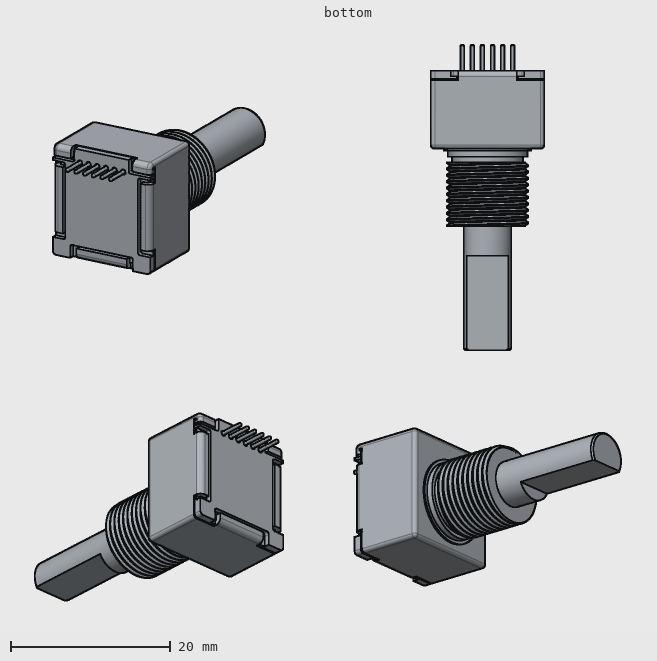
import cadquery as cq


overall_length = 38.28

case_width = 14.25
case_height = 14.78
case_top = 8.05
case_bottom = case_top - case_height
case_length = 9.8
case_round = 0.5
half_width = case_width / 2

sheet = 0.73
bend_radius = 0.73
tab_depth = 0.75
tab_length = 1.45
notch_length = 1.8
notch_round = 0.3
corner_tab_inner_x = 4.5
corner_notch_inner_x = 4.0
side_tab_bottom = -3.67
side_tab_top = 5.2
side_notch_bottom = -4.4
side_notch_top = 5.9
bottom_tab_half = 3.67
bottom_notch_half = 4.6

window_depth = 1.22
window_gap = 0.2
side_window_top = 7.27

pin_count = 6
pin_pitch = 1.25
pin_radius = 0.25
pin_tip_round = 0.2
pin_length = 3.2
pin_height = 6.28
pin_hole_radius = 0.35

collar_radius = 5.47
collar_end = 10.03
shoulder_radius = 5.0
shoulder_end = 10.85
neck_radius = 4.48
neck_end = 11.52

thread_length = 7.95
thread_turns = 10
thread_pitch = thread_length / thread_turns
thread_end = neck_end + thread_length
root_radius = 4.75
crest_radius = 5.13
ridge_base_radius = 4.67
base_flat = 0.05
crest_flat = 0.1

shaft_radius = 3.0
shaft_end = overall_length - pin_length
shaft_chamfer = 0.23
flat_start = 23.2
flat_height = -1.4


def block(x_range, y_range, z_range):
    """Box spanning the given (low, high) ranges."""
    spans = [high - low for low, high in (x_range, y_range, z_range)]
    corner = (x_range[0], y_range[0], z_range[0])
    return cq.Workplane("XY").box(*spans, centered=False).translate(corner)


def rod(radius, start, end):
    """Cylinder on the shaft axis between two Y positions."""
    return cq.Workplane("XZ", origin=(0, start, 0)).circle(radius).extrude(start - end)


def mirrored_pair(shape):
    """The shape together with its mirror image across X = 0."""
    return shape.union(shape.mirror("YZ"))


def make_case_block():
    case = block((-half_width, half_width), (0, case_length), (case_bottom, case_top))
    return case.edges("|Y").fillet(case_round).faces(">Y").edges().fillet(case_round)


def window_gaps(case):
    """Gaps between the sheet and the base plate, as deep as the sheet is thick."""
    inside = block(
        (sheet - half_width, half_width - sheet),
        (0, case_length),
        (case_bottom + sheet, case_top - sheet),
    )
    walls = case.cut(inside)

    def frame(x_low, x_high, z_low, z_high):
        outer = block((x_low, x_high), (0, window_depth), (z_low, z_high))
        filling = block(
            (x_low + window_gap, x_high - window_gap),
            (0, window_depth - window_gap),
            (z_low + window_gap, z_high - window_gap),
        )
        return outer.cut(filling)

    beyond_side = half_width + window_gap
    top = frame(-corner_tab_inner_x, corner_tab_inner_x, case_top - notch_length, case_top + window_gap)
    side = frame(half_width - notch_length, beyond_side, side_tab_top, side_window_top)
    bottom_corner = frame(bottom_tab_half, beyond_side, case_bottom - window_gap, side_tab_bottom)
    gaps = top.union(mirrored_pair(side)).union(mirrored_pair(bottom_corner))
    return gaps.intersect(walls)


def make_notches():
    """Pockets in the pin face that receive the tabs; each runs out past the case edge."""
    def notch(x_low, x_high, z_low, z_high):
        pocket = block((x_low, x_high), (0, sheet), (z_low, z_high))
        return pocket.edges("|Y").fillet(notch_round)

    beyond_side = half_width + 2 * notch_round
    beyond_top = case_top + 2 * notch_round
    beyond_bottom = case_bottom - 2 * notch_round
    corner = notch(corner_notch_inner_x, beyond_side, case_top - notch_length, beyond_top)
    side = notch(half_width - notch_length, beyond_side, side_notch_bottom, side_notch_top)
    bottom = notch(-bottom_notch_half, bottom_notch_half, beyond_bottom, case_bottom + notch_length)
    return mirrored_pair(corner).union(mirrored_pair(side)).union(bottom)


def make_tabs():
    """Sheet tabs bent over the pin face, rounded along the bend."""
    tab_inner_x = half_width - tab_length
    depth = (0, tab_depth)
    side = block((tab_inner_x, half_width), depth, (side_tab_bottom, side_tab_top))
    side = side.faces("<Y").edges(">X").fillet(bend_radius)
    bottom = block((-bottom_tab_half, bottom_tab_half), depth, (case_bottom, case_bottom + tab_length))
    bottom = bottom.faces("<Y").edges("<Z").fillet(bend_radius)
    corner = block((corner_tab_inner_x, half_width), depth, (case_top - tab_length, case_top))
    corner = corner.faces("<Y").edges(">Z").fillet(bend_radius)
    rounded_side = corner.faces(">X").edges("not(>Y or <Z)").fillet(case_round)
    return mirrored_pair(side).union(bottom).union(mirrored_pair(rounded_side))


def make_case():
    case = make_case_block()
    tabs = make_tabs().intersect(case)
    return case.cut(window_gaps(case)).cut(make_notches()).union(tabs)


def pin_row(radius):
    """Row of cylinders from the pin hole floors to the pin tips."""
    centres = cq.Workplane("XZ", origin=(0, sheet, pin_height)).rarray(pin_pitch, 0.4, pin_count, 1)
    return centres.circle(radius).extrude(sheet + pin_length)


def make_pins():
    return pin_row(pin_radius).faces("<Y").edges().fillet(pin_tip_round)


def make_thread():
    """Core with a right-hand helical ridge, both over-long and then trimmed square to length."""
    run_out = 1.5 * thread_pitch
    half_base = (thread_pitch - base_flat) / 2
    half_crest = crest_flat / 2
    helix = cq.Wire.makeHelix(thread_pitch, thread_length + 2 * run_out, ridge_base_radius)
    ridge = (
        cq.Workplane("XZ")
        .moveTo(ridge_base_radius, -half_base)
        .lineTo(crest_radius, -half_crest)
        .lineTo(crest_radius, half_crest)
        .lineTo(ridge_base_radius, half_base)
        .close()
        .sweep(cq.Workplane(obj=helix), isFrenet=True)
        .rotate((0, 0, 0), (1, 0, 0), -90)
        .translate((0, neck_end - run_out, 0))
    )
    core = rod(root_radius, neck_end - 2 * run_out, thread_end + 2 * run_out)
    return core.union(ridge).intersect(rod(crest_radius + thread_pitch, neck_end, thread_end))


def make_bushing():
    collar = rod(collar_radius, case_length, collar_end)
    shoulder = rod(shoulder_radius, collar_end, shoulder_end)
    neck = rod(neck_radius, shoulder_end, neck_end)
    return collar.union(shoulder).union(neck).union(make_thread())


def make_shaft():
    shaft = rod(shaft_radius, thread_end, shaft_end).faces(">Y").edges().chamfer(shaft_chamfer)
    below_flat = block(
        (-shaft_radius, shaft_radius), (flat_start, shaft_end), (-2 * shaft_radius, flat_height)
    )
    return shaft.cut(below_flat)


case_with_holes = make_case().cut(pin_row(pin_hole_radius))
result = case_with_holes.union(make_pins()).union(make_bushing()).union(make_shaft())